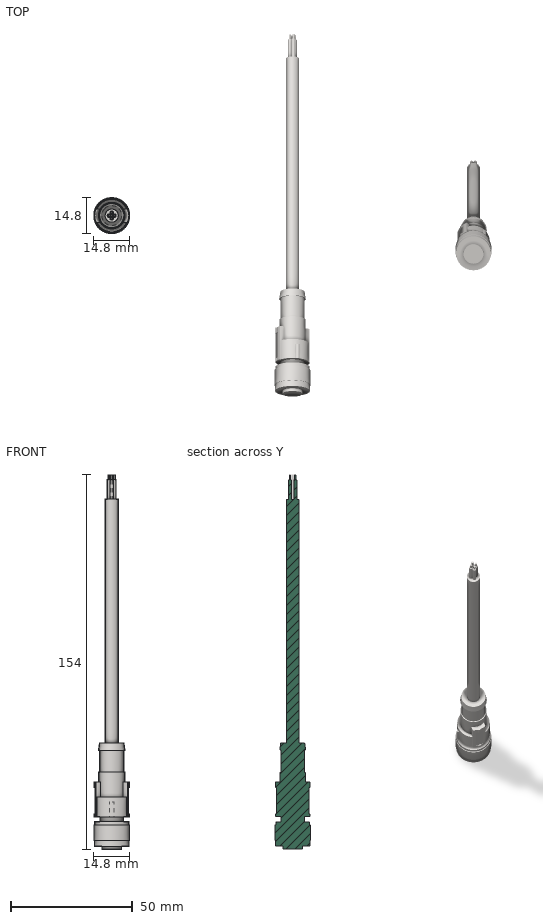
import cadquery as cq
import math

TOTAL_LENGTH = 154.0
INSERT_TOP = 1.2
NUT_BAND_TOP = 3.7
NUT_BODY_TOP = 10.0
NUT_TOP = 11.4
GRIP_BOTTOM = 13.4
GRIP_TOP = 21.5
SHOULDER_TOP = 31.7
COLLAR_BOTTOM = 40.7
COLLAR_TOP = 43.7
JACKET_TOP = 144.0
INSULATION_TOP = 152.0

NUT_DIAMETER = 14.8
NUT_BAND_DIAMETER = 14.3
NUT_TOP_DIAMETER = 14.2
INSERT_DIAMETER = 8.2
NECK_DIAMETER = 9.9
GRIP_DIAMETER = 13.4
SHOULDER_DIAMETER = 10.8
SLEEVE_DIAMETER = 10.0
COLLAR_DIAMETER = 11.0
CABLE_DIAMETER = 5.4

WING_TOP = 27.7
WING_WIDTH = 5.5
WING_DIAMETER = 14.0
FLAT_BOTTOM = 14.6
FLAT_TOP = 25.4
FLAT_WIDTH = 3.2
FLAT_REACH = math.sqrt((WING_DIAMETER / 2) ** 2 - (FLAT_WIDTH / 2) ** 2)

RIB_DIAMETER = 1.8
RIB_REACH = 7.2
KEY_TOP = 19.4

WIRE_COUNT = 4
WIRE_RING_RADIUS = 1.11
INSULATION_DIAMETER = 1.46
CONDUCTOR_DIAMETER = 0.8


def cylinder(diameter, bottom, top):
    """Upright cylinder on the cable axis."""
    return cq.Workplane("XY").workplane(offset=bottom).circle(diameter / 2).extrude(top - bottom)


def cone(bottom_diameter, top_diameter, bottom, top):
    """Upright truncated cone on the cable axis."""
    return (
        cq.Workplane("XY")
        .workplane(offset=bottom)
        .circle(bottom_diameter / 2)
        .workplane(offset=top - bottom)
        .circle(top_diameter / 2)
        .loft(ruled=True)
    )


def side_block(reach, width, bottom, top):
    """Block from the axis out to +X, centred on Y."""
    block = cq.Workplane("XY").box(reach, width, top - bottom, centered=(False, True, False))
    return block.translate((0, 0, bottom))


def make_nut():
    """Coupling nut, stepped in at both ends."""
    nut = cylinder(NUT_BAND_DIAMETER, INSERT_TOP, NUT_BAND_TOP)
    nut = nut.union(cylinder(NUT_DIAMETER, NUT_BAND_TOP, NUT_BODY_TOP))
    return nut.union(cylinder(NUT_TOP_DIAMETER, NUT_BODY_TOP, NUT_TOP))


def make_housing():
    """Stepped connector body from the mating insert up to the tapered collar."""
    housing = cylinder(INSERT_DIAMETER, 0, NUT_TOP)
    housing = housing.union(cylinder(NECK_DIAMETER, INSERT_TOP, GRIP_BOTTOM))
    housing = housing.union(cylinder(GRIP_DIAMETER, GRIP_BOTTOM, GRIP_TOP))
    housing = housing.union(cylinder(SHOULDER_DIAMETER, GRIP_TOP, SHOULDER_TOP))
    housing = housing.union(cylinder(SLEEVE_DIAMETER, SHOULDER_TOP, COLLAR_BOTTOM))
    return housing.union(cone(COLLAR_DIAMETER, SLEEVE_DIAMETER, COLLAR_BOTTOM, COLLAR_TOP))


def round_rib(bottom, top):
    """Upright half-round rib standing out to +X."""
    return cylinder(RIB_DIAMETER, bottom, top).translate((RIB_REACH - RIB_DIAMETER / 2, 0, 0))


def make_wing():
    """Sector of a cylinder with a flat on its outer face and a rib at each end of the flat."""
    sector = side_block(WING_DIAMETER / 2, WING_WIDTH, GRIP_BOTTOM, WING_TOP)
    wing = sector.intersect(cylinder(WING_DIAMETER, GRIP_BOTTOM, WING_TOP))
    outer_slab = side_block(WING_DIAMETER / 2, WING_WIDTH, FLAT_BOTTOM, FLAT_TOP)
    wing = wing.cut(outer_slab.translate((FLAT_REACH, 0, 0)))
    wing = wing.union(round_rib(GRIP_BOTTOM, FLAT_BOTTOM))
    return wing.union(round_rib(FLAT_TOP, WING_TOP))


def make_wires(diameter, top):
    """Ring of round wires rising from inside the cable jacket."""
    return (
        cq.Workplane("XY")
        .workplane(offset=COLLAR_TOP)
        .polarArray(WIRE_RING_RADIUS, 0, 360, WIRE_COUNT)
        .circle(diameter / 2)
        .extrude(top - COLLAR_TOP)
    )


def turned(body, angle):
    """Body rotated about the cable axis."""
    return body.rotate((0, 0, 0), (0, 0, 1), angle)


result = make_housing().union(make_nut())
for wing_angle in (0, 180):
    result = result.union(turned(make_wing(), wing_angle))
result = result.union(turned(round_rib(GRIP_BOTTOM, KEY_TOP), 90))
result = result.union(cylinder(CABLE_DIAMETER, SHOULDER_TOP, JACKET_TOP))
result = result.union(make_wires(INSULATION_DIAMETER, INSULATION_TOP))
result = result.union(make_wires(CONDUCTOR_DIAMETER, TOTAL_LENGTH))